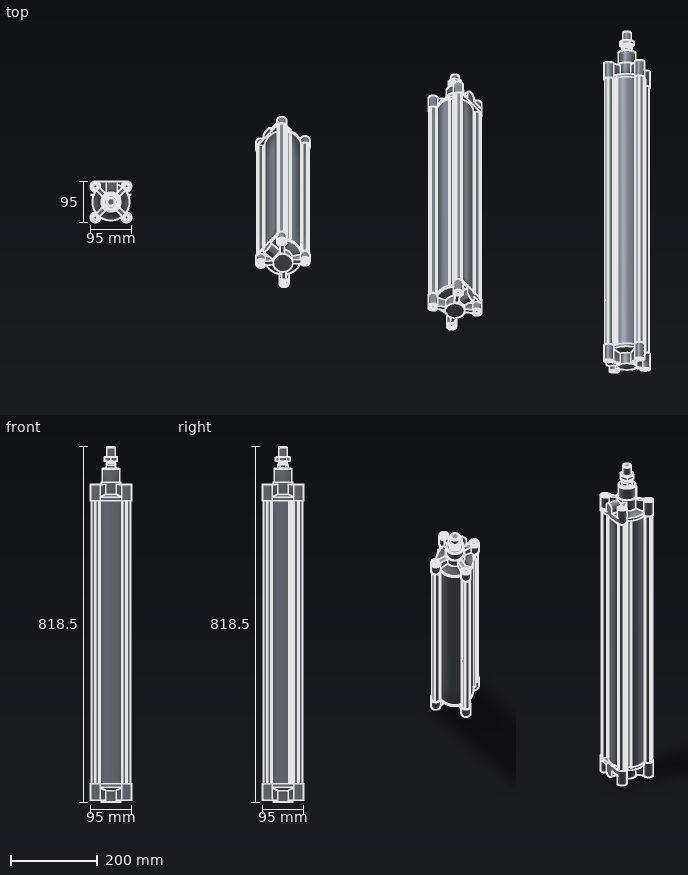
import cadquery as cq
import math


overall_length = 818.5
cap_width = 95.0
corner_spacing = 72.0
corner_offset = corner_spacing / 2
corners = [(sx * corner_offset, sy * corner_offset) for sx in (-1, 1) for sy in (-1, 1)]

rear_collar_height = 4.0
cap_length = 38.0
stroke = 600.0
mounting_length = stroke + 128.0
front_face_z = rear_collar_height + mounting_length
barrel_start_z = rear_collar_height + cap_length
barrel_end_z = front_face_z - cap_length
barrel_length = barrel_end_z - barrel_start_z

boss_diameter = cap_width - corner_spacing
flange_diameter = 86.0
flange_edge_height = 7.8
flange_slope = 20.0
hub_diameter = 45.0
hub_flange_height = (
    flange_edge_height + (flange_diameter - hub_diameter) / 2 * math.tan(math.radians(flange_slope))
)
rib_width = 10.0
port_diameter = 25.0
port_x = 2.0
port_z = 23.0
socket_steps = [(16.5, 2.0), (8.5, 12.0)]

front_collar_height = 5.15
sleeve_diameter = 41.0
sleeve_length = 36.7
sleeve_chamfer = 2.0

barrel_diameter = 86.0
column_diameter = 19.6
column_slot_width = 2.9
rail_angle = 26.0
rail_width = 11.2
rail_outer_radius = 48.3
rail_slot_width = 7.5
rail_slot_floor = 41.0

rod_diameter = 25.0
rod_end_z = front_face_z + 46.0
rod_chamfer = 1.5
flats_width = 22.0
flats_start_z = front_face_z + 38.5
neck_diameter = 18.0
neck_start_z = rod_end_z + 2.0
neck_end_z = rod_end_z + 3.0
thread_diameter = 20.0
thread_start_z = neck_end_z + (thread_diameter - neck_diameter) / 2
thread_tip_diameter = 16.5
thread_tip_length = 2.6
nut_width = 30.0
hexagon_half_angle = math.radians(30)
nut_corner_diameter = nut_width / math.cos(hexagon_half_angle)
nut_face_diameter = 29.0
nut_chamfer_height = (nut_corner_diameter - nut_face_diameter) / 2 * math.tan(hexagon_half_angle)
nut_height = 10.0
nut_z = 785.0


def cylinder(diameter, height, z=0.0):
    """Cylinder on the Z axis standing on height z."""
    return cq.Workplane("XY", origin=(0, 0, z)).circle(diameter / 2).extrude(height)


def turned(profile):
    """Solid turned about Z from a closed list of (radius, z) points."""
    return cq.Workplane("XZ").polyline(profile).close().revolve(360, (0, 0, 0), (0, 1, 0))


def hub_and_flange(collar_height):
    """Hub with a conical flange; the hub runs past the mounting face as a locating collar."""
    flange_radius = flange_diameter / 2
    hub_radius = hub_diameter / 2
    hub_end = cap_length + collar_height
    return turned([
        (0, 0),
        (flange_radius, 0),
        (flange_radius, flange_edge_height),
        (hub_radius, hub_flange_height),
        (hub_radius, hub_end),
        (0, hub_end),
    ])


def diagonal_ribs():
    """Two crossed walls that join the hub to the four corner bosses."""
    wall = cq.Workplane("XY").rect(corner_spacing * math.sqrt(2), rib_width).extrude(cap_length)
    return wall.rotate((0, 0, 0), (0, 0, 1), 45).union(wall.rotate((0, 0, 0), (0, 0, 1), 135))


def port_side():
    """Solid stretch between the two +Y bosses: base plate, port boss and raised floor beside it."""
    face_y = cap_width / 2
    plate = cq.Workplane("XY").rect(corner_spacing, boss_diameter).extrude(flange_edge_height)
    plate = plate.translate((0, corner_offset, 0))
    round_boss = (
        cq.Workplane("XZ")
        .center(port_x, port_z)
        .circle(port_diameter / 2)
        .extrude(-face_y)
    )
    pedestal = (
        cq.Workplane("XY")
        .center(port_x, face_y / 2)
        .rect(port_diameter, face_y)
        .extrude(port_z)
    )
    raised_floor = (
        cq.Workplane("XY")
        .polyline([(0, 0), (0, face_y), (-corner_offset, face_y), (-corner_offset, corner_offset)])
        .close()
        .extrude(hub_flange_height)
    )
    return plate.union(round_boss).union(pedestal).union(raised_floor)


def end_cap(collar_height):
    """Cap casting: hub, corner bosses, ribs and port side, with a stepped screw recess in each boss."""
    cap = hub_and_flange(collar_height)
    cap = cap.union(cq.Workplane("XY").pushPoints(corners).circle(boss_diameter / 2).extrude(cap_length))
    cap = cap.union(diagonal_ribs()).union(port_side())
    face = cq.Workplane("XY", origin=(0, 0, cap_length))
    for diameter, depth in socket_steps:
        cap = cap.cut(face.pushPoints(corners).circle(diameter / 2).extrude(-depth))
    return cap


def front_cap_body():
    """End cap with the guide sleeve, bored through for the rod."""
    cap = end_cap(front_collar_height).translate((0, 0, barrel_end_z))
    sleeve = cylinder(sleeve_diameter, sleeve_length, front_face_z).faces(">Z").chamfer(sleeve_chamfer)
    bore = cylinder(rod_diameter, cap_length + sleeve_length, barrel_end_z)
    return cap.union(sleeve).cut(bore)


def rear_cap_body():
    """The same cap turned over top to bottom, with its port still on +Y."""
    return end_cap(rear_collar_height).mirror("XY").translate((0, 0, barrel_start_z))


def column_slots(plane):
    """Shallow grooves down the four sides of each corner column."""
    reach = column_diameter / 2
    sides = [(reach, 0), (-reach, 0), (0, reach), (0, -reach)]
    centres = [(x + dx, y + dy) for x, y in corners for dx, dy in sides]
    return plane.pushPoints(centres).rect(column_slot_width, column_slot_width).extrude(barrel_length)


def barrel_body():
    """Extruded barrel with four corner columns and a slotted sensor rail on each X side."""
    plane = cq.Workplane("XY", origin=(0, 0, barrel_start_z))
    barrel = plane.circle(barrel_diameter / 2).extrude(barrel_length)
    rail = plane.center(rail_outer_radius / 2, 0).rect(rail_outer_radius, rail_width).extrude(barrel_length)
    slot_length = 2 * (rail_outer_radius - rail_slot_floor)
    slot = plane.center(rail_outer_radius, 0).rect(slot_length, rail_slot_width).extrude(barrel_length)
    for angle in (rail_angle, 180 - rail_angle):
        barrel = barrel.union(rail.rotate((0, 0, 0), (0, 0, 1), angle))
        barrel = barrel.cut(slot.rotate((0, 0, 0), (0, 0, 1), angle))
    barrel = barrel.union(plane.pushPoints(corners).circle(column_diameter / 2).extrude(barrel_length))
    return barrel.cut(column_slots(plane))


def rod_body():
    """Rod with wrench flats, a relief neck and a threaded end drawn at its major diameter."""
    rod_radius = rod_diameter / 2
    neck_radius = neck_diameter / 2
    thread_radius = thread_diameter / 2
    rod = turned([
        (0, barrel_end_z),
        (rod_radius, barrel_end_z),
        (rod_radius, rod_end_z - rod_chamfer),
        (neck_radius, neck_start_z),
        (neck_radius, neck_end_z),
        (thread_radius, thread_start_z),
        (thread_radius, overall_length - thread_tip_length),
        (thread_tip_diameter / 2, overall_length),
        (0, overall_length),
    ])
    flat_depth = (rod_diameter - flats_width) / 2
    flat_x = flats_width / 2 + flat_depth / 2
    flats = (
        cq.Workplane("XY", origin=(0, 0, flats_start_z))
        .pushPoints([(-flat_x, 0), (flat_x, 0)])
        .rect(flat_depth, rod_diameter)
        .extrude(neck_start_z - flats_start_z)
    )
    return rod.cut(flats)


def nut_body():
    """Hexagon nut with flats facing +X and -X and chamfered corners."""
    hexagon = (
        cq.Workplane("XY", origin=(0, 0, nut_z))
        .polygon(6, nut_corner_diameter)
        .extrude(nut_height)
        .rotate((0, 0, 0), (0, 0, 1), math.degrees(hexagon_half_angle))
    )
    face_radius = nut_face_diameter / 2
    corner_radius = nut_corner_diameter / 2
    nut_top_z = nut_z + nut_height
    chamfer_envelope = turned([
        (0, nut_z),
        (face_radius, nut_z),
        (corner_radius, nut_z + nut_chamfer_height),
        (corner_radius, nut_top_z - nut_chamfer_height),
        (face_radius, nut_top_z),
        (0, nut_top_z),
    ])
    return hexagon.intersect(chamfer_envelope).cut(cylinder(thread_diameter, nut_height, nut_z))


barrel = barrel_body()
front_cap = front_cap_body()
rear_cap = rear_cap_body()
rod = rod_body()
nut = nut_body()

result = cq.Compound.makeCompound([barrel.val(), front_cap.val(), rear_cap.val(), rod.val(), nut.val()])